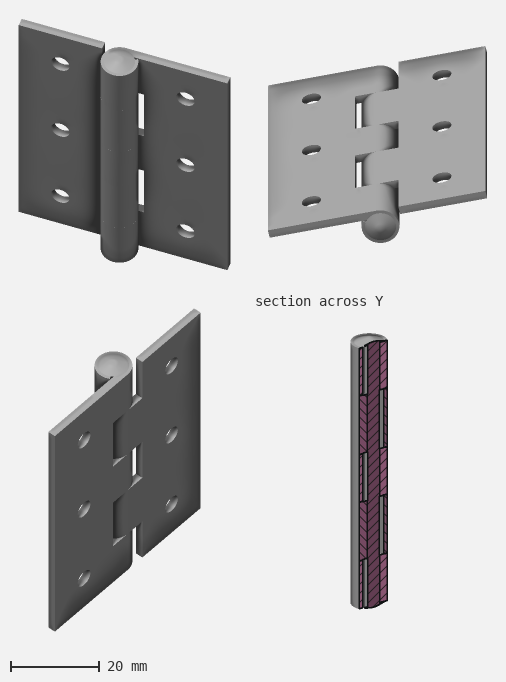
import cadquery as cq
import math

total_height = 67.5
hinge_width = 50.0
barrel_radius = 4.25
sheet_thickness = 1.95
cone_height = 1.2
cone_radius = 3.5
right_knuckle_height = 12.0
notch_edge = 5.0
curl_end_angle = 30.0
screw_hole_diameter = 4.4
screw_hole_pitch = 23.0

leaf_height = total_height - 2 * cone_height
leaf_reach = hinge_width / 2
bore_radius = barrel_radius - sheet_thickness
left_knuckle_height = (leaf_height - 3 * right_knuckle_height) / 2
knuckle_pitch = (right_knuckle_height + left_knuckle_height) / 2
screw_hole_x = (leaf_reach + notch_edge) / 2


def polar(radius, degrees):
    """Point at the given radius and angle about the pin axis."""
    angle = math.radians(degrees)
    return (radius * math.cos(angle), radius * math.sin(angle))


def rolled_sheet():
    """Flat sheet toward +X whose inner edge is rolled around the pin axis."""
    middle_of_curl = (90 + 360 + curl_end_angle) / 2
    return (
        cq.Workplane("XY")
        .workplane(offset=-leaf_height / 2)
        .moveTo(leaf_reach, barrel_radius)
        .lineTo(0, barrel_radius)
        .threePointArc(polar(barrel_radius, middle_of_curl), polar(barrel_radius, curl_end_angle))
        .lineTo(*polar(bore_radius, curl_end_angle))
        .threePointArc(polar(bore_radius, middle_of_curl), (0, bore_radius))
        .lineTo(leaf_reach, bore_radius)
        .close()
        .extrude(leaf_height)
    )


def notch(center_z, height):
    """Block that removes the barrel, out to the notch edge, over one knuckle height."""
    return cq.Workplane("XY").box(2 * notch_edge, 2 * notch_edge, height).translate((0, 0, center_z))


def make_leaf(notch_centers, notch_height):
    """Leaf extending toward +X, with screw holes and notches for the other leaf's knuckles."""
    leaf = rolled_sheet()
    for center_z in notch_centers:
        leaf = leaf.cut(notch(center_z, notch_height))
    screw_holes = (
        cq.Workplane("XZ")
        .pushPoints([(screw_hole_x, row * screw_hole_pitch) for row in (-1, 0, 1)])
        .circle(screw_hole_diameter / 2)
        .extrude(2 * barrel_radius, both=True)
    )
    return leaf.cut(screw_holes)


def make_pin():
    """Shank filling the bore, with a shallow conical head on each end of the barrel."""
    return (
        cq.Workplane("XZ")
        .moveTo(0, -total_height / 2)
        .lineTo(cone_radius, -leaf_height / 2)
        .lineTo(bore_radius, -leaf_height / 2)
        .lineTo(bore_radius, leaf_height / 2)
        .lineTo(cone_radius, leaf_height / 2)
        .lineTo(0, total_height / 2)
        .close()
        .revolve(360, (0, 0, 0), (0, 1, 0))
    )


right_leaf = make_leaf([-knuckle_pitch, knuckle_pitch], left_knuckle_height)
left_leaf = make_leaf(
    [-2 * knuckle_pitch, 0, 2 * knuckle_pitch], right_knuckle_height
).mirror("YZ")
pin = make_pin()

result = cq.Compound.makeCompound([right_leaf.val(), left_leaf.val(), pin.val()])